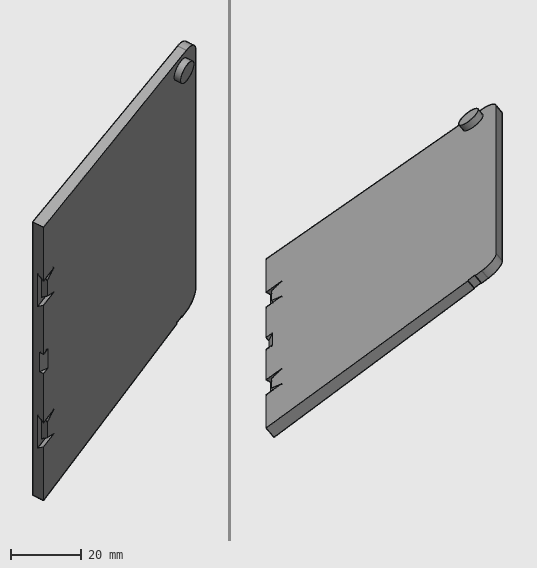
import cadquery as cq

height = 127.0
depth = 82.5
front_thickness = 3.7
back_thickness = 2.9
edge_drop = 3.0
corner_radius = 5.3

pin_diameter = 7.1
pin_tip_x = 5.2
pin_from_back = 8.3
pin_from_top = 8.1

pocket_floor_x = 1.7
pocket_length = 15.2
pocket_depth = 2.0
tongue_height = 3.5
tongue_end_run = 2.0
pocket_undercut = 2.0
pocket_centers = (32.9, -32.9)

bevel_length = 8.9
bevel_x = 2.4
bevel_run = 2.4

relief_from_back = 7.6
relief_width = 2.5
relief_depth = 0.5

half_height = height / 2


def make_plate():
    """Plate tapering in height and thickness towards the back."""
    half_back = half_height - edge_drop
    outline = [(0, -half_height), (depth, -half_back), (depth, half_back), (0, half_height)]
    blank = cq.Workplane("YZ").polyline(outline).close().extrude(front_thickness)
    blank = blank.edges("|X and >Y").fillet(corner_radius)
    section = [(0, 0), (front_thickness, 0), (back_thickness, depth), (0, depth)]
    wedge = cq.Workplane("XY").polyline(section).close().extrude(half_height, both=True)
    return blank.intersect(wedge)


def make_pin():
    start_x = back_thickness / 2
    return (
        cq.Workplane("YZ", origin=(start_x, depth - pin_from_back, half_height - pin_from_top))
        .circle(pin_diameter / 2)
        .extrude(pin_tip_x - start_x)
    )


def pocket_section(half_length, y):
    """Dovetail profile at depth y, wide at the floor and narrow at the mouth."""
    half_mouth = half_length - pocket_undercut
    points = [
        (pocket_floor_x, y, -half_length),
        (front_thickness, y, -half_mouth),
        (front_thickness, y, half_mouth),
        (pocket_floor_x, y, half_length),
    ]
    return cq.Wire.makePolygon([cq.Vector(*point) for point in points], close=True)


def make_pocket(center_z):
    """Dovetail slot around a tongue whose sloped ends leave deeper corners."""
    half_length = pocket_length / 2
    full_depth = pocket_depth + tongue_height
    slot_front = pocket_section(half_length, 0)
    slot_back = pocket_section(half_length, full_depth)
    tongue_front = pocket_section(half_length - tongue_end_run, pocket_depth)
    slot = cq.Workplane(cq.Solid.makeLoft([slot_front, slot_back], True))
    tongue = cq.Workplane(cq.Solid.makeLoft([tongue_front, slot_back], True))
    return slot.cut(tongue).translate((0, 0, center_z))


def make_bevel():
    section = [(bevel_x, 0), (front_thickness, 0), (front_thickness, bevel_run)]
    return cq.Workplane("XY").polyline(section).close().extrude(bevel_length / 2, both=True)


def make_relief():
    """Cutter whose top follows the sloping bottom edge, offset into the plate."""
    slope = edge_drop / depth
    end_y = depth - relief_from_back
    start_y = end_y - relief_width
    floor_start = -half_height + slope * start_y + relief_depth
    floor_end = -half_height + slope * end_y + relief_depth
    outline = [
        (start_y, -half_height),
        (end_y, -half_height),
        (end_y, floor_end),
        (start_y, floor_start),
    ]
    return cq.Workplane("YZ").polyline(outline).close().extrude(front_thickness)


result = make_plate().union(make_pin())
for pocket_z in pocket_centers:
    result = result.cut(make_pocket(pocket_z))
result = result.cut(make_bevel()).cut(make_relief())